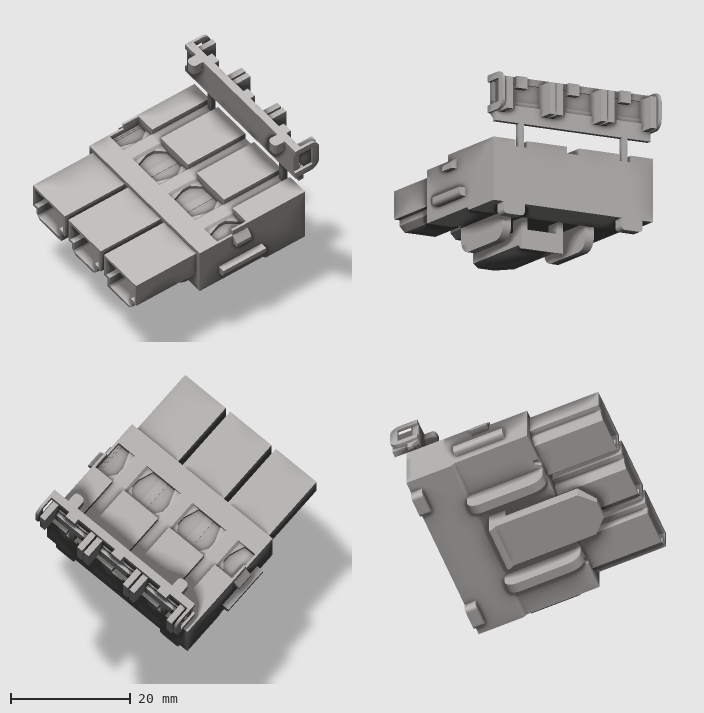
import cadquery as cq


WIDTH = 30.86
HALF_WIDTH = WIDTH / 2
LENGTH = 21.94
DECK_Z = 9.75
PAD_Z = 10.9
BOTTOM_RISE = 0.57
BOTTOM_RISE_Y = 13.77

PITCH = 10.03
PAD_WIDTH = 7.65
PAD_FRONT_Y = 9.98
SIDE_WALL = 0.43
SIDE_WALL_FRONT_Y = 6.9
PAD_COUNT = 4
PAD_CENTRES = [PITCH * (i - (PAD_COUNT - 1) / 2) for i in range(PAD_COUNT)]

POCKET_FRONT_Y = 3.97
POCKET_RIM = 0.45
POCKET_RIM_DEPTH = 0.4
SHOULDER_WIDTH = 1.35
SHOULDER_DEPTH = 0.63
POCKET_DEPTH = 1.15
WELL_FRONT_INSET = 1.45
WELL_SIDE_Y = (6.72, 8.17)
STRIP_WIDTH = 1.58
STRIP_HEIGHT = 0.1
EDGE_STRIP_WIDTH = 0.6
EDGE_LEDGE_WIDTH = 0.3

TUBE_LENGTH = 12.5
TUBE_TOP_Z = 8.89
TUBE_STEP_Z = 4.01
TUBE_BOTTOM_Z = 2.01
TUBE_HALF_WIDTH = 4.53
KEY_HALF_WIDTH = 3.53
TUBE_WALL = 0.57
OUTBOARD_TRIM = 0.13
KEY_CHAMFER = 1.0
BORE_CHAMFER = 0.25

TAB_REACH = 1.15
TAB_Y = (6.9, PAD_FRONT_Y)
TAB_TIP_Z = 8.6
TAB_BOTTOM_Z = 7.9
RIB_REACH = 1.32
RIB_Y = (3.99, 12.93)
RIB_Z = (2.55, 4.01)
RIB_FILLET = 0.7

RAIL_X = 8.03
RAIL_WIDTH = 1.6
RAIL_BOTTOM_Z = -4.0
RAIL_FILLET = 2.4
FOOT_X = 11.43
FOOT_WIDTH = 4.1
FOOT_LENGTH = 2.01
FOOT_DEPTH = 2.0
FOOT_FILLET = 0.7
NOTCH_X = PITCH
NOTCH_WIDTH = 1.33
NOTCH_TOP_Z = 1.58
NOTCH_DEPTH = 1.0

LEVER_WIDTH = 7.92
LEVER_TOP_Z = -1.43
LEVER_TIP_Y = -6.74
LEVER_TAPER_Y = -4.27
LEVER_TIP_TOP_Z = -2.72
LEVER_TIP_WIDTH = 3.04
LEVER_REAR_Y = 11.79
HOOK_BOTTOM_Z = -4.76
HOOK_FLAT = 0.46
HOOK_LENGTH = 1.1
LEG_WIDTH = 1.03
LEG_LENGTH = 3.0

POST_X = PITCH
POST_WIDTH = 1.0
POST_THICKNESS = 0.98
CARRIER_FRONT_Y = 19.96
CARRIER_REAR_Y = 24.9
CARRIER_BOTTOM_Z = 15.34
CARRIER_TOP_Z = 21.8
CARRIER_WALL = 1.37
WALL_RECESS_DEPTH = 0.28
WALL_RECESS_BOTTOM_Z = 17.6
FLANGE_HALF_WIDTH = 15.0
FLANGE_BOTTOM_Z = 13.77
GUSSET_WIDTH = 0.8
END_PLATE = 0.5
END_FILLET = 1.8
WINDOW_REAR_Y = 23.54
WINDOW_Z = (16.63, 20.65)
FIN_WIDTH = 1.06
FIN_TOP_Z = 20.8
FIN_INNER_X = 4.29
FIN_MIDDLE_X = 5.72
FIN_OUTER_X = 13.9
BUMP_WIDTH = 2.0
BUMP_REACH = 0.97
BOSS_X = 11.4
BOSS_WIDTH = 2.03
BOSS_REACH = 2.05
BOSS_HEIGHT = 2.03
BOSS_FILLET = 0.75

SIDES = (-1, 1)
COLUMNS = (-1, 0, 1)


def block(x, y, z):
    """Box spanning the given (low, high) ranges."""
    size = [high - low for low, high in (x, y, z)]
    return cq.Workplane("XY").box(*size, centered=False).translate((x[0], y[0], z[0]))


def span(centre, width):
    return (centre - width / 2, centre + width / 2)


def along_x(points, x):
    """Prism with a (y, z) outline spanning the x range."""
    return cq.Workplane("YZ").workplane(offset=x[0]).polyline(points).close().extrude(x[1] - x[0])


def along_y(points, y):
    """Prism with an (x, z) outline spanning the y range."""
    return cq.Workplane("XZ").workplane(offset=-y[1]).polyline(points).close().extrude(y[1] - y[0])


def along_z(points, z):
    """Prism with an (x, y) outline spanning the z range."""
    return cq.Workplane("XY").workplane(offset=z[0]).polyline(points).close().extrude(z[1] - z[0])


def mirrored(shape):
    """The shape together with its mirror image about X = 0."""
    return shape.union(shape.mirror("YZ"))


def make_housing():
    outline = [
        (0, BOTTOM_RISE),
        (BOTTOM_RISE_Y - BOTTOM_RISE, BOTTOM_RISE),
        (BOTTOM_RISE_Y, 0),
        (LENGTH, 0),
        (LENGTH, DECK_Z),
        (0, DECK_Z),
    ]
    housing = along_x(outline, (-HALF_WIDTH, HALF_WIDTH))
    envelope = block((-HALF_WIDTH, HALF_WIDTH), (0, LENGTH), (0, PAD_Z))
    for x in PAD_CENTRES:
        pad = block(span(x, PAD_WIDTH), (PAD_FRONT_Y, LENGTH), (DECK_Z, PAD_Z))
        housing = housing.union(pad.intersect(envelope))
    side_wall = block(
        (HALF_WIDTH - SIDE_WALL, HALF_WIDTH), (SIDE_WALL_FRONT_Y, PAD_FRONT_Y), (DECK_Z, PAD_Z)
    )
    return housing.union(mirrored(side_wall))


def make_strip(x, height):
    """Low strip running along a pocket floor."""
    floor_z = DECK_Z - POCKET_DEPTH
    return block(x, (POCKET_FRONT_Y, PAD_FRONT_Y), (floor_z, floor_z + height))


def make_pocket(x):
    """Sloped-rim recess with an eight-sided well and a low strip.

    The strip is central in the inner pockets. The outer pockets are cut short
    by the side wall and have a two-step strip along it.
    """
    half = PAD_WIDTH / 2
    rim = half - POCKET_RIM
    shoulder = rim - SHOULDER_WIDTH
    well_front = half - WELL_FRONT_INSET
    floor_z = DECK_Z - POCKET_DEPTH
    recess_outline = [
        (-half, DECK_Z),
        (-rim, DECK_Z - POCKET_RIM_DEPTH),
        (-shoulder, DECK_Z - SHOULDER_DEPTH),
        (shoulder, DECK_Z - SHOULDER_DEPTH),
        (rim, DECK_Z - POCKET_RIM_DEPTH),
        (half, DECK_Z),
    ]
    well_outline = [
        (-well_front, POCKET_FRONT_Y),
        (-rim, WELL_SIDE_Y[0]),
        (-rim, WELL_SIDE_Y[1]),
        (-shoulder, PAD_FRONT_Y),
        (shoulder, PAD_FRONT_Y),
        (rim, WELL_SIDE_Y[1]),
        (rim, WELL_SIDE_Y[0]),
        (well_front, POCKET_FRONT_Y),
    ]
    recess = along_y(recess_outline, (POCKET_FRONT_Y, PAD_FRONT_Y))
    well = along_z(well_outline, (floor_z, DECK_Z - POCKET_RIM_DEPTH))
    inner_half = HALF_WIDTH - SIDE_WALL
    limits = block((-inner_half, inner_half), (0, LENGTH), (0, DECK_Z))
    pocket = recess.union(well).translate((x, 0, 0)).intersect(limits)
    if abs(x) < PITCH:
        return pocket.cut(make_strip(span(x, STRIP_WIDTH), STRIP_HEIGHT))
    strip = make_strip((inner_half - EDGE_STRIP_WIDTH, inner_half), STRIP_HEIGHT)
    ledge = make_strip((inner_half - EDGE_LEDGE_WIDTH, inner_half), 2 * STRIP_HEIGHT)
    return pocket.cut(mirrored(strip.union(ledge)))


def make_tube(side):
    """Keyed tube; side is -1, 0 or 1. Outer tubes have a thin outboard wall and one square key corner."""
    left_trim = OUTBOARD_TRIM if side < 0 else 0
    right_trim = OUTBOARD_TRIM if side > 0 else 0
    left = TUBE_HALF_WIDTH - left_trim
    right = TUBE_HALF_WIDTH - right_trim
    key_left = KEY_HALF_WIDTH - left_trim
    key_right = KEY_HALF_WIDTH - right_trim
    left_corner = [(-key_left, TUBE_BOTTOM_Z)]
    right_corner = [(key_right, TUBE_BOTTOM_Z)]
    if side <= 0:
        left_corner = [
            (-key_left, TUBE_BOTTOM_Z + KEY_CHAMFER),
            (-key_left + KEY_CHAMFER, TUBE_BOTTOM_Z),
        ]
    if side >= 0:
        right_corner = [
            (key_right - KEY_CHAMFER, TUBE_BOTTOM_Z),
            (key_right, TUBE_BOTTOM_Z + KEY_CHAMFER),
        ]
    outline = [
        (-left, TUBE_TOP_Z),
        (-left, TUBE_STEP_Z),
        (-key_left, TUBE_STEP_Z),
        *left_corner,
        *right_corner,
        (key_right, TUBE_STEP_Z),
        (right, TUBE_STEP_Z),
        (right, TUBE_TOP_Z),
    ]
    bore_half = TUBE_HALF_WIDTH - TUBE_WALL
    bore_key = KEY_HALF_WIDTH - TUBE_WALL
    bore_step_z = TUBE_STEP_Z + TUBE_WALL
    bore_bottom_z = TUBE_BOTTOM_Z + TUBE_WALL
    bore_outline = [
        (-bore_half, TUBE_TOP_Z - TUBE_WALL),
        (-bore_half, bore_step_z),
        (-bore_key, bore_step_z),
        (-bore_key, bore_bottom_z + BORE_CHAMFER),
        (-bore_key + BORE_CHAMFER, bore_bottom_z),
        (bore_key - BORE_CHAMFER, bore_bottom_z),
        (bore_key, bore_bottom_z + BORE_CHAMFER),
        (bore_key, bore_step_z),
        (bore_half, bore_step_z),
        (bore_half, TUBE_TOP_Z - TUBE_WALL),
    ]
    reach = (-TUBE_LENGTH, 0)
    tube = along_y(outline, reach).cut(along_y(bore_outline, reach))
    return tube.translate((side * PITCH, 0, 0))


def make_side_features():
    tab_outline = [
        (HALF_WIDTH, DECK_Z),
        (HALF_WIDTH + TAB_REACH, TAB_TIP_Z),
        (HALF_WIDTH + TAB_REACH, TAB_BOTTOM_Z),
        (HALF_WIDTH, TAB_BOTTOM_Z),
    ]
    rib = block((HALF_WIDTH, HALF_WIDTH + RIB_REACH), RIB_Y, RIB_Z)
    rib = rib.edges("|Y and >X and <Z").fillet(RIB_FILLET)
    return mirrored(along_y(tab_outline, TAB_Y).union(rib))


def make_rails_and_feet():
    rail = block(span(RAIL_X, RAIL_WIDTH), (0, BOTTOM_RISE_Y), (RAIL_BOTTOM_Z, BOTTOM_RISE))
    rail = rail.edges("|X and <Z").fillet(RAIL_FILLET)
    rear_trim = along_x(
        [
            (BOTTOM_RISE_Y - BOTTOM_RISE, BOTTOM_RISE),
            (BOTTOM_RISE_Y, BOTTOM_RISE),
            (BOTTOM_RISE_Y, 0),
        ],
        span(RAIL_X, RAIL_WIDTH),
    )
    foot = block(span(FOOT_X, FOOT_WIDTH), (LENGTH - FOOT_LENGTH, LENGTH), (-FOOT_DEPTH, 0))
    foot = foot.edges("|Y and <Z").fillet(FOOT_FILLET)
    return mirrored(rail.cut(rear_trim).union(foot))


def make_notch(x):
    """Notch in the lower front edge whose right half ramps back out to the front face."""
    half = NOTCH_WIDTH / 2
    outline = [(x - half, 0), (x - half, NOTCH_DEPTH), (x, NOTCH_DEPTH), (x + half, 0)]
    return along_z(outline, (BOTTOM_RISE, NOTCH_TOP_Z))


def make_lever():
    half = LEVER_WIDTH / 2
    tip_half = LEVER_TIP_WIDTH / 2
    side_outline = [
        (LEVER_REAR_Y, LEVER_TOP_Z),
        (LEVER_TAPER_Y, LEVER_TOP_Z),
        (LEVER_TIP_Y, LEVER_TIP_TOP_Z),
        (LEVER_TIP_Y, RAIL_BOTTOM_Z),
        (LEVER_REAR_Y - HOOK_LENGTH, RAIL_BOTTOM_Z),
        (LEVER_REAR_Y - HOOK_FLAT, HOOK_BOTTOM_Z),
        (LEVER_REAR_Y, HOOK_BOTTOM_Z),
    ]
    plan_outline = [
        (-half, LEVER_REAR_Y),
        (-half, LEVER_TAPER_Y),
        (-tip_half, LEVER_TIP_Y),
        (tip_half, LEVER_TIP_Y),
        (half, LEVER_TAPER_Y),
        (half, LEVER_REAR_Y),
    ]
    arm = along_x(side_outline, (-half, half))
    arm = arm.intersect(along_z(plan_outline, (HOOK_BOTTOM_Z, LEVER_TOP_Z)))
    leg = block(
        (half - LEG_WIDTH, half), (LEVER_REAR_Y - LEG_LENGTH, LEVER_REAR_Y), (LEVER_TOP_Z, BOTTOM_RISE)
    )
    return arm.union(mirrored(leg))


def make_end_plate():
    x = (HALF_WIDTH - END_PLATE, HALF_WIDTH)
    plate = block(x, (CARRIER_FRONT_Y, CARRIER_REAR_Y), (CARRIER_BOTTOM_Z, CARRIER_TOP_Z))
    return plate.edges("|X and >Y").fillet(END_FILLET)


def make_carrier():
    wall_rear_y = CARRIER_FRONT_Y + CARRIER_WALL
    flange_front_y = LENGTH - POST_THICKNESS
    carrier = block(
        (-HALF_WIDTH, HALF_WIDTH), (CARRIER_FRONT_Y, wall_rear_y), (CARRIER_BOTTOM_Z, CARRIER_TOP_Z)
    )
    wall_recess = block(
        (-HALF_WIDTH, HALF_WIDTH),
        (wall_rear_y - WALL_RECESS_DEPTH, wall_rear_y),
        (WALL_RECESS_BOTTOM_Z, WINDOW_Z[1]),
    )
    carrier = carrier.cut(wall_recess)
    flange = block(
        (-FLANGE_HALF_WIDTH, FLANGE_HALF_WIDTH),
        (flange_front_y, LENGTH),
        (FLANGE_BOTTOM_Z, CARRIER_BOTTOM_Z + CARRIER_WALL),
    )
    carrier = carrier.union(flange).union(mirrored(make_end_plate()))

    window = block(
        (HALF_WIDTH - END_PLATE, HALF_WIDTH), (CARRIER_FRONT_Y, WINDOW_REAR_Y), WINDOW_Z
    )
    carrier = carrier.cut(mirrored(window))

    gusset_outline = [
        (CARRIER_FRONT_Y, CARRIER_BOTTOM_Z),
        (flange_front_y, CARRIER_BOTTOM_Z),
        (flange_front_y, CARRIER_BOTTOM_Z - (flange_front_y - CARRIER_FRONT_Y)),
    ]
    gusset = along_x(gusset_outline, (FLANGE_HALF_WIDTH - GUSSET_WIDTH, FLANGE_HALF_WIDTH))
    post = block(span(POST_X, POST_WIDTH), (flange_front_y, LENGTH), (DECK_Z, FLANGE_BOTTOM_Z))
    boss = block(
        span(BOSS_X, BOSS_WIDTH),
        (CARRIER_FRONT_Y - BOSS_REACH, CARRIER_FRONT_Y),
        (CARRIER_TOP_Z - BOSS_HEIGHT, CARRIER_TOP_Z),
    )
    boss = boss.edges("|Z and <Y").fillet(BOSS_FILLET)
    carrier = carrier.union(mirrored(gusset)).union(mirrored(post)).union(mirrored(boss))

    for x in (FIN_INNER_X, FIN_MIDDLE_X, FIN_OUTER_X):
        fin = block(
            span(x, FIN_WIDTH),
            (wall_rear_y - WALL_RECESS_DEPTH, CARRIER_REAR_Y),
            (CARRIER_BOTTOM_Z, FIN_TOP_Z),
        )
        carrier = carrier.union(mirrored(fin))
    for column in COLUMNS:
        bump = block(
            span(column * PITCH, BUMP_WIDTH),
            (wall_rear_y - WALL_RECESS_DEPTH, wall_rear_y + BUMP_REACH),
            (CARRIER_TOP_Z - BOSS_HEIGHT, CARRIER_TOP_Z),
        )
        carrier = carrier.union(bump)
    return carrier


part = make_housing()
for pad_x in PAD_CENTRES:
    part = part.cut(make_pocket(pad_x))
for tube_side in COLUMNS:
    part = part.union(make_tube(tube_side))
for notch_side in SIDES:
    part = part.cut(make_notch(notch_side * NOTCH_X))
part = part.union(make_side_features())
part = part.union(make_rails_and_feet())
part = part.union(make_lever())
result = part.union(make_carrier())